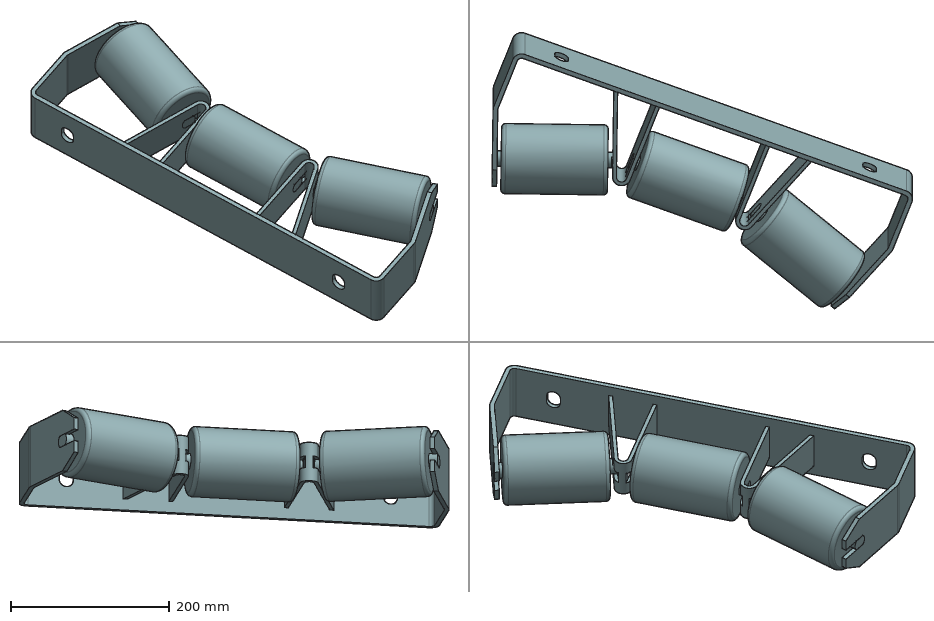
import cadquery as cq
import math

TILT = 20.0
COS = math.cos(math.radians(TILT))
SIN = math.sin(math.radians(TILT))

FRAME_LENGTH = 540.0
FRAME_WIDTH = 80.0
HALF_LENGTH = FRAME_LENGTH / 2
FRAME_SHEET = 6.0
BEND_IN = 6.0
BEND_OUT = BEND_IN + FRAME_SHEET
TAB_BEND_Y = 79.5
TAB_TIP_Y = 186.5
TAB_TIP_WIDTH = 45.5
TAB_TAPER = 28.5
MOUNT_SLOT_X = 208.5
MOUNT_SLOT_WIDTH = 18.5
MOUNT_SLOT_HEIGHT = 26.0

BRACKET_WIDTH = 51.0
BRACKET_SHEET = 5.0
FOLD_IN = 6.5
FOLD_OUT = FOLD_IN + BRACKET_SHEET
BRACKET_WALL_X = 72.0
FOLD_X = BRACKET_WALL_X + FOLD_OUT
FOLD_Y = 115.5

ROLLER_DIAMETER = 89.0
ROLLER_LENGTH = 135.0
ROLLER_FILLET = 5.5
SHAFT_DIAMETER = 20.0
SHAFT_FLATS = 15.0
FLAT_LENGTH = 6.5
MIDDLE_ROLLER_Y = 99.5
SIDE_ROLLER_Y = 132.0

MIDDLE_SHAFT_LENGTH = 2 * (BRACKET_WALL_X + BRACKET_SHEET)

LEG_FACE = FOLD_X * COS + FOLD_Y * SIN + FOLD_IN
TAB_FACE = (HALF_LENGTH - BEND_OUT) * COS + TAB_BEND_Y * SIN + BEND_OUT
SIDE_SHAFT_LENGTH = TAB_FACE - LEG_FACE
SIDE_ROLLER_X = ((LEG_FACE + TAB_FACE) / 2 - SIDE_ROLLER_Y * SIN) / COS


def on_arc(center, radius, degrees):
    """Point on a circle, measured counterclockwise from +X."""
    angle = math.radians(degrees)
    return (center[0] + radius * math.cos(angle), center[1] + radius * math.sin(angle))


def place(body, x, y, tilt):
    """Tilt a body about Z and move it to its place."""
    return body.rotate((0, 0, 0), (0, 0, 1), tilt).translate((x, y, 0))


def x_cylinder(length, diameter):
    """Cylinder along X, centered on the origin."""
    return cq.Workplane().cylinder(length, diameter / 2, direct=cq.Vector(1, 0, 0))


def make_roller(shaft_length):
    """Roller and its shaft along X, centered on the origin, with flats on the shaft ends."""
    barrel = x_cylinder(ROLLER_LENGTH, ROLLER_DIAMETER).edges("%CIRCLE").fillet(ROLLER_FILLET)
    shaft = x_cylinder(shaft_length, SHAFT_DIAMETER)
    round_part = cq.Workplane().box(shaft_length - 2 * FLAT_LENGTH, SHAFT_DIAMETER, SHAFT_DIAMETER)
    flat_part = cq.Workplane().box(shaft_length, SHAFT_DIAMETER, SHAFT_FLATS)
    return barrel.union(shaft.intersect(round_part.union(flat_part)))


def shaft_slot(shaft_length):
    """Cutter for the two open slots that hold one shaft: shaft end profile, extended toward +Y."""
    reach = FRAME_WIDTH
    bottom = x_cylinder(shaft_length, SHAFT_DIAMETER)
    opening = cq.Workplane().box(shaft_length, reach, SHAFT_DIAMETER).translate((0, reach / 2, 0))
    band = cq.Workplane().box(shaft_length, 2 * reach, SHAFT_FLATS)
    return bottom.union(opening).intersect(band)


def make_frame():
    """Base plate with upturned ends that lean inward and carry the outer shaft ends."""
    corner = (HALF_LENGTH - BEND_OUT, BEND_OUT)
    tab_bend = (HALF_LENGTH - BEND_OUT, TAB_BEND_Y)
    tab_start_out = on_arc(tab_bend, BEND_OUT, TILT)
    tab_length = (TAB_TIP_Y - tab_start_out[1]) / COS
    tip_out = (tab_start_out[0] - tab_length * SIN, TAB_TIP_Y)
    tip_in = (tip_out[0] - FRAME_SHEET * COS, tip_out[1] - FRAME_SHEET * SIN)
    half = (
        cq.Workplane("XY")
        .moveTo(0, 0)
        .lineTo(*on_arc(corner, BEND_OUT, -90))
        .threePointArc(on_arc(corner, BEND_OUT, -45), on_arc(corner, BEND_OUT, 0))
        .lineTo(*on_arc(tab_bend, BEND_OUT, 0))
        .threePointArc(on_arc(tab_bend, BEND_OUT, TILT / 2), tab_start_out)
        .lineTo(*tip_out)
        .lineTo(*tip_in)
        .lineTo(*on_arc(tab_bend, BEND_IN, TILT))
        .threePointArc(on_arc(tab_bend, BEND_IN, TILT / 2), on_arc(tab_bend, BEND_IN, 0))
        .lineTo(*on_arc(corner, BEND_IN, 0))
        .threePointArc(on_arc(corner, BEND_IN, -45), on_arc(corner, BEND_IN, -90))
        .lineTo(0, FRAME_SHEET)
        .close()
        .extrude(FRAME_WIDTH / 2, both=True)
    )
    taper_depth = (FRAME_WIDTH - TAB_TIP_WIDTH) / 2
    for side in (1, -1):
        edge = side * FRAME_WIDTH / 2
        taper = (
            cq.Workplane("YZ")
            .polyline([(0, edge), (0, edge - side * taper_depth), (-TAB_TAPER, edge)])
            .close()
            .extrude(2 * FRAME_SHEET, both=True)
        )
        half = half.cut(place(taper, *tip_out, TILT))
    frame = half.union(half.mirror("YZ"))
    mount_slots = (
        cq.Workplane("XZ")
        .pushPoints([(-MOUNT_SLOT_X, 0), (MOUNT_SLOT_X, 0)])
        .slot2D(MOUNT_SLOT_HEIGHT, MOUNT_SLOT_WIDTH, 90)
        .extrude(-FRAME_SHEET)
    )
    return frame.cut(mount_slots)


def make_bracket():
    """Right-hand folded bracket: upright wall, rounded fold and leg leaning outward to the base."""
    fold = (FOLD_X, FOLD_Y)

    def leg_foot(radius):
        start = on_arc(fold, radius, TILT)
        return (start[0] + (start[1] - FRAME_SHEET) * SIN / COS, FRAME_SHEET)

    middle_angle = (180 + TILT) / 2
    return (
        cq.Workplane("XY")
        .moveTo(BRACKET_WALL_X, FRAME_SHEET)
        .lineTo(*on_arc(fold, FOLD_OUT, 180))
        .threePointArc(on_arc(fold, FOLD_OUT, middle_angle), on_arc(fold, FOLD_OUT, TILT))
        .lineTo(*leg_foot(FOLD_OUT))
        .lineTo(*leg_foot(FOLD_IN))
        .lineTo(*on_arc(fold, FOLD_IN, TILT))
        .threePointArc(on_arc(fold, FOLD_IN, middle_angle), on_arc(fold, FOLD_IN, 180))
        .lineTo(BRACKET_WALL_X + BRACKET_SHEET, FRAME_SHEET)
        .close()
        .extrude(BRACKET_WIDTH / 2, both=True)
    )


middle_slot = place(shaft_slot(MIDDLE_SHAFT_LENGTH), 0, MIDDLE_ROLLER_Y, 0)
side_slot = place(shaft_slot(SIDE_SHAFT_LENGTH), SIDE_ROLLER_X, SIDE_ROLLER_Y, TILT)

frame = make_frame().cut(side_slot).cut(side_slot.mirror("YZ"))

bracket = make_bracket().cut(middle_slot).cut(side_slot)
brackets = [bracket, bracket.mirror("YZ")]

rollers = [place(make_roller(MIDDLE_SHAFT_LENGTH), 0, MIDDLE_ROLLER_Y, 0)]
for side in (1, -1):
    roller = make_roller(SIDE_SHAFT_LENGTH)
    rollers.append(place(roller, side * SIDE_ROLLER_X, SIDE_ROLLER_Y, side * TILT))

result = cq.Compound.makeCompound([body.val() for body in [frame, *brackets, *rollers]])